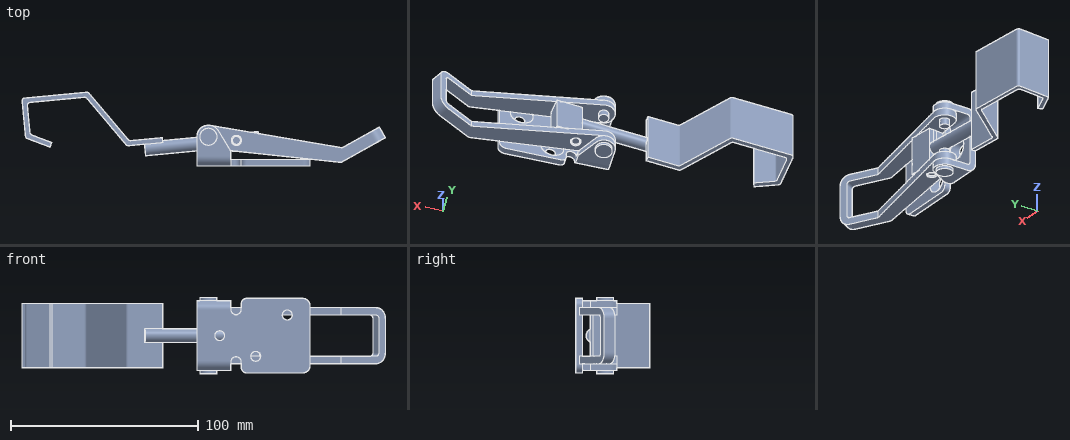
import cadquery as cq
import math


sheet = 3.7
plate_bottom = -15.7
plate_end = 54.3
plate_width = 40.0
ear_span = 37.5
ear_radius = 6.2
ear_end = 12.0
ear_corner_y = -7.8
bend_outer_radius = 5.0
notch_radius = 2.7
notch_z = 14.0
near_corner_radius = 3.1
far_corner_radius = 4.0
hole_diameter = 5.2
countersink_taper = 45
holes_xz = [(6.0, 0), (25.2, -11.0), (42.1, 11.0)]

lever_width = ear_span - 2 * sheet
arm_thickness = 4.0
elbow_bottom = (70.8, -13.8)
elbow_top = (71.5, -5.8)
handle_angle = 29.2
handle_height = 6.6
handle_length = 27.2
handle_corner_radius = 5.8

rivet_head_diameter = 9.1
rivet_head_height = 1.7
rivet_shank_diameter = 5.5
rivet_shank_stub = 3.7

pin_x = 15.0
pin_y = -2.0
rod_tilt = 5.4
pin_diameter = 5.5
pin_chamfer = 0.5
pin_recess = 0.5
rod_diameter = 7.4
rod_reach = 49.0
block_u = (-2.5, 12.0)
block_v = (-5.8, 3.7)

hook_width = 34.5
hook_thickness = 2.7
hook_bend_radius = 1.5
hook_path = [
    (-39.2, 2.5),
    (-58.5, 2.5),
    (-77.8, 30.5),
    (-109.3, 30.5),
    (-109.3, 13.5),
    (-98.2, 8.2),
]


def centred_extrusion(sketch, depth):
    """Extrude an XY outline by depth, centred on Z = 0."""
    return sketch.extrude(depth / 2, both=True)


def to_rod_frame(body):
    """Move a body modelled in U, V onto the tilted rod axis."""
    return body.rotate((0, 0, 0), (0, 0, 1), rod_tilt).translate((pin_x, pin_y, 0))


def z_cylinder(x, y, diameter, length):
    """Cylinder along Z, centred on Z = 0."""
    return centred_extrusion(cq.Workplane("XY").center(x, y).circle(diameter / 2), length)


def tangent_point(radius, point, side):
    """Where the line from point touches a circle about the origin; side is +1 or -1."""
    x, y = point
    angle = math.atan2(y, x) + side * math.acos(radius / math.hypot(x, y))
    return (radius * math.cos(angle), radius * math.sin(angle))


def ear_channel():
    """U-shaped channel that carries the rivets, trimmed to the ear outline."""
    height = ear_radius - plate_bottom
    mid_y = (ear_radius + plate_bottom) / 2
    length = ear_end + ear_radius
    mid_x = (ear_end - ear_radius) / 2
    outer = (
        cq.Workplane("XY").box(length, height, ear_span)
        .translate((mid_x, mid_y, 0))
        .edges("|X and <Y").fillet(bend_outer_radius)
    )
    inner = (
        cq.Workplane("XY").box(length, height, lever_width)
        .translate((mid_x, mid_y + sheet, 0))
        .edges("|X and <Y").fillet(bend_outer_radius - sheet)
    )
    corner = (ear_end, ear_corner_y)
    ear_outline = (
        cq.Workplane("XY")
        .moveTo(-ear_radius, plate_bottom)
        .lineTo(ear_end, plate_bottom)
        .lineTo(*corner)
        .lineTo(*tangent_point(ear_radius, corner, 1))
        .threePointArc((0, ear_radius), (-ear_radius, 0))
        .close()
    )
    return outer.cut(inner).intersect(centred_extrusion(ear_outline, ear_span))


def base_plate():
    """Flat plate with a neck, next to the ears, that ends in two relief notches."""
    plate_start = ear_end + 2 * notch_radius
    middle_y = plate_bottom + sheet / 2
    wide = (
        cq.Workplane("XY").box(plate_end - plate_start, sheet, plate_width)
        .translate(((plate_end + plate_start) / 2, middle_y, 0))
        .edges("|Y and <X").fillet(near_corner_radius)
        .edges("|Y and >X").fillet(far_corner_radius)
    )
    overlap = near_corner_radius
    neck = (
        cq.Workplane("XY").box(plate_start + overlap - ear_end, sheet, 2 * notch_z)
        .translate(((plate_start + overlap + ear_end) / 2, middle_y, 0))
    )
    notches = (
        cq.Workplane("XZ", origin=(ear_end + notch_radius, plate_bottom, 0))
        .pushPoints([(0, notch_z), (0, -notch_z)])
        .circle(notch_radius).extrude(-sheet)
    )
    return wide.union(neck).cut(notches)


def make_bracket():
    countersunk_holes = (
        cq.Workplane("XZ", origin=(0, plate_bottom, 0))
        .pushPoints(holes_xz)
        .circle(hole_diameter / 2).extrude(-sheet, taper=-countersink_taper)
    )
    rivet_holes = z_cylinder(0, 0, rivet_shank_diameter, ear_span)
    return ear_channel().union(base_plate()).cut(countersunk_holes).cut(rivet_holes)


def handle_point(start, along, across):
    """Point offset from start along and across the handle direction."""
    angle = math.radians(handle_angle)
    return (
        start[0] + along * math.cos(angle) - across * math.sin(angle),
        start[1] + along * math.sin(angle) + across * math.cos(angle),
    )


def lever_outline():
    tip_bottom = handle_point(elbow_bottom, handle_length, 0)
    tip_top = handle_point(tip_bottom, 0, handle_height)
    return (
        cq.Workplane("XY")
        .moveTo(*tangent_point(ear_radius, elbow_bottom, -1))
        .lineTo(*elbow_bottom)
        .lineTo(*tip_bottom)
        .lineTo(*tip_top)
        .lineTo(*elbow_top)
        .lineTo(*tangent_point(ear_radius, elbow_top, 1))
        .threePointArc((-ear_radius, 0), tangent_point(ear_radius, elbow_bottom, -1))
        .close()
    )


def make_lever():
    """Two side arms joined by a strap across the end of the handle."""
    solid = centred_extrusion(lever_outline(), lever_width)
    tip = handle_point(elbow_bottom, handle_length, 0)
    strap_length = tip[0] + ear_radius + handle_height
    outer = (
        cq.Workplane("XY").box(2 * strap_length, 2 * strap_length, lever_width)
        .translate((-strap_length, 0, 0))
        .edges("|Y and >X").fillet(handle_corner_radius)
    )
    inner = (
        cq.Workplane("XY").box(2 * strap_length, 2 * strap_length, lever_width - 2 * arm_thickness)
        .translate((-strap_length - arm_thickness, 0, 0))
        .edges("|Y and >X").fillet(handle_corner_radius - arm_thickness)
    )
    strap = outer.cut(inner).rotate((0, 0, 0), (0, 0, 1), handle_angle).translate((*tip, 0))
    rivet_holes = z_cylinder(0, 0, rivet_shank_diameter, lever_width)
    pin_holes = z_cylinder(pin_x, pin_y, pin_diameter, lever_width)
    return solid.intersect(strap).cut(rivet_holes).cut(pin_holes)


def make_rivet(side):
    """Headed rivet through one ear and one arm; side is +1 (top) or -1 (bottom)."""
    head_z = ear_span / 2
    shank_end_z = lever_width / 2 - arm_thickness - rivet_shank_stub
    head = (
        cq.Workplane("XY", origin=(0, 0, side * head_z))
        .circle(rivet_head_diameter / 2).extrude(side * rivet_head_height)
    )
    shank = (
        cq.Workplane("XY", origin=(0, 0, side * shank_end_z))
        .circle(rivet_shank_diameter / 2).extrude(side * (head_z - shank_end_z))
    )
    return head.union(shank)


def make_hook():
    """Bent strip; each bend is mitred and then rounded on both faces."""
    headings = [
        math.atan2(b[1] - a[1], b[0] - a[0]) for a, b in zip(hook_path, hook_path[1:])
    ]
    before = [headings[0]] + headings
    after = headings + [headings[-1]]
    outer_side = []
    for (u, v), heading_in, heading_out in zip(hook_path, before, after):
        turn = math.remainder(heading_out - heading_in, 2 * math.pi)
        normal = heading_in + turn / 2 - math.pi / 2
        miter = hook_thickness / math.cos(turn / 2)
        outer_side.append((u + miter * math.cos(normal), v + miter * math.sin(normal)))
    outline = cq.Workplane("XY").polyline(hook_path + outer_side[::-1]).close()
    strip = centred_extrusion(outline, hook_width)
    for u, v in hook_path[1:-1] + outer_side[1:-1]:
        edge = cq.selectors.NearestToPointSelector((u, v, 0))
        strip = strip.edges("|Z").edges(edge).fillet(hook_bend_radius)
    return to_rod_frame(strip)


def cross_pin():
    """Pin with chamfered ends, carried by both lever arms."""
    length = lever_width - 2 * pin_recess
    return z_cylinder(pin_x, pin_y, pin_diameter, length).faces("|Z").chamfer(pin_chamfer)


def make_rod(hook):
    """Round rod with a flat seat for the hook, an end block and its cross pin."""
    shank = (
        cq.Workplane("YZ", origin=(-rod_reach, 0, 0))
        .circle(rod_diameter / 2).extrude(rod_reach)
    )
    block_length = block_u[1] - block_u[0]
    block_height = block_v[1] - block_v[0]
    block = (
        cq.Workplane("XY")
        .box(block_length, block_height, lever_width - 2 * arm_thickness)
        .translate((sum(block_u) / 2, sum(block_v) / 2, 0))
    )
    return to_rod_frame(shank.union(block)).union(cross_pin()).cut(hook)


bracket = make_bracket()
lever = make_lever()
rivets = [make_rivet(side) for side in (1, -1)]
hook = make_hook()
rod = make_rod(hook)

result = cq.Compound.makeCompound(
    [bracket.val(), lever.val(), hook.val(), rod.val(), *[rivet.val() for rivet in rivets]]
)